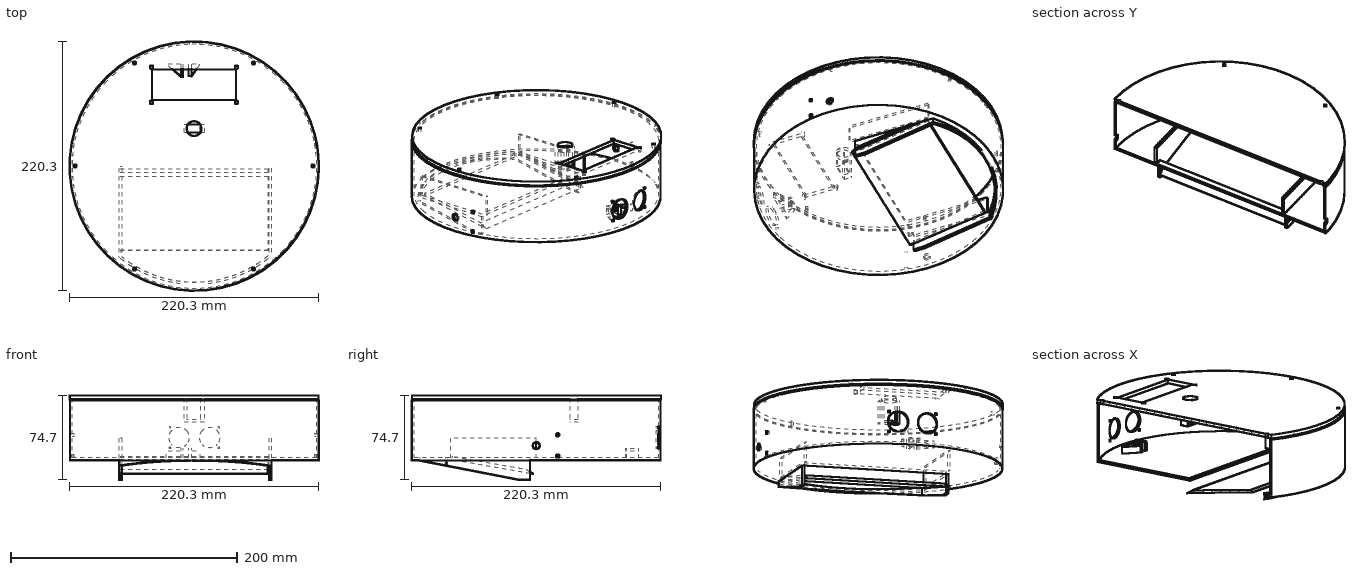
import cadquery as cq
import math

HOUSING_DIAMETER = 220.0
HOUSING_BORE = 216.0
HOUSING_HEIGHT = 53.0
FLOOR_THICKNESS = 2.5
HOUSING_SHIFT_X = 0.31
HOUSING_SHIFT_Y = -0.31
HOUSING_AXIS = (HOUSING_SHIFT_X, HOUSING_SHIFT_Y)
WALL_THICKNESS = (HOUSING_DIAMETER - HOUSING_BORE) / 2

EYE_DIAMETER = 18.0
EYE_SPACING = 27.0
EYE_HEIGHT = 20.2
EYE_SCREW_DIAMETER = 1.5
EYE_SCREW_SPACING_X = 43.0
EYE_SCREW_SPACING_Z = 18.0

CABLE_HOLE_DIAMETER = 6.0
CABLE_HOLE_HEIGHT = 13.1
SIDE_SCREW_DIAMETER = 2.5
SIDE_SCREW_Y = 19.0
SIDE_SCREW_HEIGHTS = (4.0, 22.6)

CHUTE_CENTRE_X = HOUSING_SHIFT_X + 0.9
CHUTE_INNER_WIDTH = 130.0
CHEEK_THICKNESS = 2.3
CHUTE_OUTER_RADIUS = 104.4
CHUTE_FRONT_THICKNESS = 2.0
CHUTE_DEPTH = 17.22
CHUTE_BACK_Y = -5.7
CHUTE_FLAT_END_Y = -15.4
CHUTE_SLOPE_ANGLE = 11.0
CHUTE_OUTER_WIDTH = CHUTE_INNER_WIDTH + 2 * CHEEK_THICKNESS
INNER_CHEEK_BACK_Y = HOUSING_SHIFT_Y
INNER_CHEEK_FRONT_Y = -76.0
INNER_CHEEK_TOP = 20.0

FLAP_ANGLE = 10.0
FLAP_THICKNESS = 2.8
FLAP_TIP_Y = -2.9
FLAP_TIP_Z = -11.9
FLAP_BEVEL_LENGTH = 7.0
FLAP_LENGTH = 73.0
FLAP_SIDE_GAP = 1.1

CLIP_HEIGHT = 8.0
GUSSET_HEIGHT = 6.0
CLIP_BACK_Y = 90.0
CLIP_LEFT_X = (-11.6, -9.6)
CLIP_LEFT_FRONT_Y = 78.7
CLIP_RIGHT_X = (-5.0, -2.3)
CLIP_RIGHT_FRONT_Y = 79.4
GUSSET_FRONT_Y = 79.0
GUSSET_LEFT_SPREAD = 1.19
GUSSET_RIGHT_SPREAD = 0.69

LID_DIAMETER = 220.0
LID_THICKNESS = 3.5
LID_GAP = 1.0
LID_BOTTOM = HOUSING_HEIGHT + LID_GAP
LID_SCREW_COUNT = 6
LID_SCREW_CIRCLE = 210.0
LID_SCREW_DIAMETER = 2.5
DISPLAY_Y = 71.7
DISPLAY_WIDTH = 74.0
DISPLAY_HEIGHT = 27.0
DISPLAY_SCREW_SPACING_X = 75.0
DISPLAY_SCREW_SPACING_Y = 31.0
DISPLAY_SCREW_DIAMETER = 3.0
SENSOR_Y = 33.0
SENSOR_HOLE_DIAMETER = 13.0

HOLDER_WIDTH = 7.0
HOLDER_SPAN = 18.0
HOLDER_ARM = 2.4
HOLDER_DEPTH = 20.0
HOLDER_BRIDGE = 2.0
HOLDER_PAD = 1.3


def box(x_range, y_range, z_range):
    """Box from its limits along each axis."""
    x0, x1 = x_range
    y0, y1 = y_range
    z0, z1 = z_range
    return cq.Workplane("XY").box(x1 - x0, y1 - y0, z1 - z0, centered=False).translate((x0, y0, z0))


def cylinder(radius, z_range, axis):
    """Upright cylinder about an axis at (x, y)."""
    bottom, top = z_range
    return cq.Workplane("XY", origin=(*axis, bottom)).circle(radius).extrude(top - bottom)


def chute_plan(width, radius, back_y, z_range):
    """Slab of given width, cut round at the front by the housing-centred radius."""
    half = width / 2
    slab = box((CHUTE_CENTRE_X - half, CHUTE_CENTRE_X + half), (-HOUSING_DIAMETER, back_y), z_range)
    return slab.intersect(cylinder(radius, z_range, HOUSING_AXIS))


def make_chute():
    """Cheeks and curved front wall, trimmed by the sloping underside."""
    below = (-CHUTE_DEPTH, FLOOR_THICKNESS)
    outer = chute_plan(CHUTE_OUTER_WIDTH, CHUTE_OUTER_RADIUS, CHUTE_BACK_Y, below)
    slope_run = (CHUTE_DEPTH + FLOOR_THICKNESS) / math.tan(math.radians(CHUTE_SLOPE_ANGLE))
    slope_end_y = CHUTE_FLAT_END_Y - slope_run
    side_profile = (
        cq.Workplane("YZ", origin=(-HOUSING_DIAMETER / 2, 0, 0))
        .moveTo(CHUTE_BACK_Y, FLOOR_THICKNESS)
        .lineTo(CHUTE_BACK_Y, -CHUTE_DEPTH)
        .lineTo(CHUTE_FLAT_END_Y, -CHUTE_DEPTH)
        .lineTo(slope_end_y, FLOOR_THICKNESS)
        .close()
        .extrude(HOUSING_DIAMETER)
    )
    return outer.intersect(side_profile)


def make_inner_cheeks():
    """Continuations of the two cheeks above the floor."""
    cheeks = cq.Workplane("XY")
    for side in (-1, 1):
        middle = CHUTE_CENTRE_X + side * (CHUTE_INNER_WIDTH + CHEEK_THICKNESS) / 2
        x_range = (middle - CHEEK_THICKNESS / 2, middle + CHEEK_THICKNESS / 2)
        cheeks = cheeks.add(box(x_range, (INNER_CHEEK_FRONT_Y, INNER_CHEEK_BACK_Y), (0, INNER_CHEEK_TOP)))
    return cheeks.combine()


def make_clip(x_range, front_y, side, spread):
    """Upright clip with a gusset that widens towards +Y on one side (-1 or +1)."""
    plate = box(x_range, (front_y, CLIP_BACK_Y), (0, FLOOR_THICKNESS + CLIP_HEIGHT))
    root_x = x_range[0] if side < 0 else x_range[1]
    reach = side * spread * (CLIP_BACK_Y - GUSSET_FRONT_Y)
    gusset = (
        cq.Workplane("XY")
        .polyline([(root_x, GUSSET_FRONT_Y), (root_x, CLIP_BACK_Y), (root_x + reach, CLIP_BACK_Y)])
        .close()
        .extrude(FLOOR_THICKNESS + GUSSET_HEIGHT)
    )
    return plate.union(gusset)


def make_eye_holes():
    """Two sensor eyes and four screw holes through the +Y wall."""
    plane = cq.Workplane("XZ", origin=(HOUSING_SHIFT_X, HOUSING_DIAMETER / 2 + WALL_THICKNESS, EYE_HEIGHT))
    length = HOUSING_DIAMETER / 4
    eyes = plane.rarray(EYE_SPACING, 1, 2, 1).circle(EYE_DIAMETER / 2).extrude(length)
    screws = (
        plane.rarray(EYE_SCREW_SPACING_X, EYE_SCREW_SPACING_Z, 2, 2)
        .circle(EYE_SCREW_DIAMETER / 2)
        .extrude(length)
    )
    return eyes.add(screws)


def cross_hole(diameter, y, z, x_range):
    """Hole along X."""
    start, end = x_range
    return cq.Workplane("YZ", origin=(start, y, z)).circle(diameter / 2).extrude(end - start)


def make_flap():
    """Sloping plate whose -X edge passes through the -X cheek."""
    left = CHUTE_CENTRE_X - CHUTE_OUTER_WIDTH / 2
    right = CHUTE_CENTRE_X + CHUTE_INNER_WIDTH / 2 - FLAP_SIDE_GAP
    profile = (
        cq.Workplane("YZ")
        .moveTo(0, 0)
        .lineTo(-FLAP_LENGTH, 0)
        .lineTo(-FLAP_LENGTH, FLAP_THICKNESS)
        .lineTo(-FLAP_BEVEL_LENGTH, FLAP_THICKNESS)
        .close()
        .extrude(right - left)
    )
    tilted = profile.rotate((0, 0, 0), (1, 0, 0), -FLAP_ANGLE)
    return tilted.translate((left, FLAP_TIP_Y, FLAP_TIP_Z))


def make_housing(flap):
    housing = cylinder(HOUSING_DIAMETER / 2, (0, HOUSING_HEIGHT), HOUSING_AXIS)
    housing = housing.cut(cylinder(HOUSING_BORE / 2, (FLOOR_THICKNESS, HOUSING_HEIGHT), HOUSING_AXIS))
    housing = housing.union(make_chute()).union(make_inner_cheeks())
    housing = housing.union(make_clip(CLIP_LEFT_X, CLIP_LEFT_FRONT_Y, -1, GUSSET_LEFT_SPREAD))
    housing = housing.union(make_clip(CLIP_RIGHT_X, CLIP_RIGHT_FRONT_Y, 1, GUSSET_RIGHT_SPREAD))

    passage_radius = CHUTE_OUTER_RADIUS - CHUTE_FRONT_THICKNESS
    passage_z = (-CHUTE_DEPTH, FLOOR_THICKNESS)
    housing = housing.cut(chute_plan(CHUTE_INNER_WIDTH, passage_radius, CHUTE_BACK_Y, passage_z))

    for hole in make_eye_holes().vals():
        housing = housing.cut(cq.Workplane(hole))

    outside = HOUSING_DIAMETER
    inside = HOUSING_BORE / 2 - WALL_THICKNESS
    for x_range in ((-outside, -inside), (inside, outside)):
        housing = housing.cut(cross_hole(CABLE_HOLE_DIAMETER, HOUSING_SHIFT_Y, CABLE_HOLE_HEIGHT, x_range))
    for height in SIDE_SCREW_HEIGHTS:
        screw_y = HOUSING_SHIFT_Y + SIDE_SCREW_Y
        housing = housing.cut(cross_hole(SIDE_SCREW_DIAMETER, screw_y, height, (-outside, outside)))

    return housing.cut(flap)


def lid_plane(y):
    """Workplane on the underside of the lid, centred at the given Y."""
    return cq.Workplane("XY", origin=(0, y, LID_BOTTOM))


def make_lid():
    lid = cylinder(LID_DIAMETER / 2, (LID_BOTTOM, LID_BOTTOM + LID_THICKNESS), (0, 0))
    screws = lid_plane(0).polarArray(LID_SCREW_CIRCLE / 2, 0, 360, LID_SCREW_COUNT)
    display_screws = lid_plane(DISPLAY_Y).rarray(DISPLAY_SCREW_SPACING_X, DISPLAY_SCREW_SPACING_Y, 2, 2)
    outlines = [
        screws.circle(LID_SCREW_DIAMETER / 2),
        lid_plane(DISPLAY_Y).rect(DISPLAY_WIDTH, DISPLAY_HEIGHT),
        display_screws.circle(DISPLAY_SCREW_DIAMETER / 2),
        lid_plane(SENSOR_Y).circle(SENSOR_HOLE_DIAMETER / 2),
    ]
    for outline in outlines:
        lid = lid.cut(outline.extrude(LID_THICKNESS))
    return lid


def make_holder():
    """U-shaped bracket whose arms touch the underside of the lid."""
    half = HOLDER_SPAN / 2
    bottom = LID_BOTTOM - HOLDER_DEPTH
    arm_inside = half - HOLDER_ARM
    y_range = (SENSOR_Y - HOLDER_WIDTH / 2, SENSOR_Y + HOLDER_WIDTH / 2)
    block = box((-half, half), y_range, (bottom, LID_BOTTOM))
    opening = box((-arm_inside, arm_inside), y_range, (bottom + HOLDER_BRIDGE, LID_BOTTOM))
    pad = box((arm_inside - HOLDER_PAD, arm_inside), y_range, (bottom, HOUSING_HEIGHT))
    return block.cut(opening).union(pad).translate((HOUSING_SHIFT_X, 0, 0))


flap = make_flap()
housing = make_housing(flap)
lid = make_lid()
holder = make_holder()
result = cq.Compound.makeCompound([housing.val(), flap.val(), lid.val(), holder.val()])